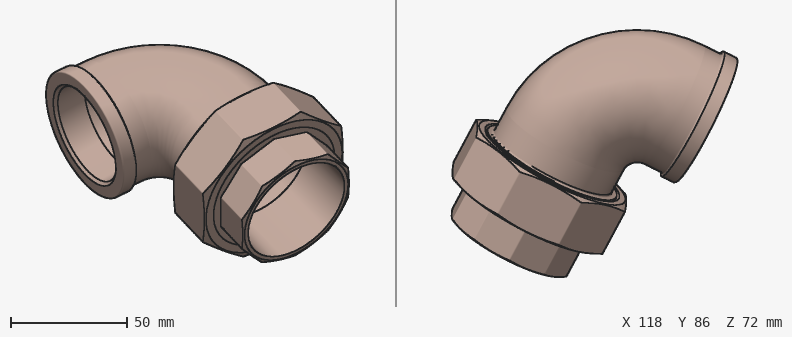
import cadquery as cq
import math


pipe_d = 57.0
inlet_bore_d = 44.8
bend_bore_d = 50.0
bend_radius = 34.8
inlet_end_y = -50.0
bead_d = 60.0
bead_length = 6.5
bead_root_fillet = 1.0
bead_rim_fillet = 0.7
mouth_chamfer = 1.4
collar_d = 62.5
collar_root_fillet = 1.0

nut_start_x = 47.0
nut_end_x = 71.0
nut_length = nut_end_x - nut_start_x
nut_sides = 8
nut_across_flats = 72.0
nut_bore_d = 62.9
nut_mouth_d = 65.0
nut_face_d = 70.8
nut_bevel_angle = 23.0

insert_end_x = 88.0
grip_length = insert_end_x - nut_end_x
grip_sides = 10
grip_across_flats = 55.2
grip_corner_angle = 90.0
grip_face_d = 53.8
grip_bevel_angle = 25.0

corner_radius = 1.0
joint_x = (nut_start_x + nut_end_x) / 2


def disc(diameter, start_x, length):
    """Solid cylinder on the outlet axis."""
    return cq.Workplane("YZ", origin=(start_x, 0, 0)).circle(diameter / 2).extrude(length)


def bent_rod(diameter):
    """Solid round bar along the bend and the straight outlet, up to the joint."""
    bend_middle = bend_radius * (1 - math.sqrt(0.5))
    path = (
        cq.Workplane("XY")
        .moveTo(0, -bend_radius)
        .threePointArc((bend_middle, -bend_middle), (bend_radius, 0))
        .lineTo(joint_x, 0)
    )
    return cq.Workplane("XZ", origin=(0, -bend_radius, 0)).circle(diameter / 2).sweep(path)


def inlet_rod(diameter):
    """Solid round bar along the straight inlet, from the bend to the inlet end."""
    return (
        cq.Workplane("XZ", origin=(0, -bend_radius, 0))
        .circle(diameter / 2)
        .extrude(-bend_radius - inlet_end_y)
    )


def polygon_bar(sides, across_flats, first_corner_angle, start_x, length):
    """Polygonal bar on the outlet axis with rounded long edges."""
    corner_r = across_flats / 2 / math.cos(math.pi / sides)
    angles = [math.radians(first_corner_angle + 360 * i / sides) for i in range(sides)]
    corners = [(corner_r * math.cos(a), corner_r * math.sin(a)) for a in angles]
    return (
        cq.Workplane("YZ", origin=(start_x, 0, 0))
        .polyline(corners)
        .close()
        .extrude(length)
        .edges("|X")
        .fillet(corner_radius)
    )


def bevel_cone(face_d, bevel_angle, face_x, direction, length):
    """Cone that starts at the end face and widens at the bevel angle into the bar."""
    face_r = face_d / 2
    wide_r = face_r + length / math.tan(math.radians(bevel_angle))
    return (
        cq.Workplane("XY")
        .moveTo(face_x, 0)
        .lineTo(face_x, face_r)
        .lineTo(face_x + direction * length, wide_r)
        .lineTo(face_x + direction * length, 0)
        .close()
        .revolve(360, (0, 0, 0), (1, 0, 0))
    )


def make_elbow():
    body = bent_rod(pipe_d).union(inlet_rod(pipe_d))

    bead_r = bead_d / 2
    pipe_r = pipe_d / 2
    bead_start_y = inlet_end_y + bead_length
    bead = (
        cq.Workplane("XY")
        .moveTo(0, inlet_end_y)
        .lineTo(bead_r - bead_rim_fillet, inlet_end_y)
        .radiusArc((bead_r, inlet_end_y + bead_rim_fillet), -bead_rim_fillet)
        .lineTo(bead_r, bead_start_y)
        .lineTo(pipe_r + bead_root_fillet, bead_start_y)
        .radiusArc((pipe_r, bead_start_y + bead_root_fillet), bead_root_fillet)
        .lineTo(0, bead_start_y + bead_root_fillet)
        .close()
        .revolve(360, (0, 0, 0), (0, 1, 0))
    )

    collar_r = collar_d / 2
    collar = (
        cq.Workplane("XY")
        .moveTo(nut_start_x - collar_root_fillet, 0)
        .lineTo(nut_start_x - collar_root_fillet, pipe_r)
        .radiusArc((nut_start_x, pipe_r + collar_root_fillet), -collar_root_fillet)
        .lineTo(nut_start_x, collar_r)
        .lineTo(joint_x, collar_r)
        .lineTo(joint_x, 0)
        .close()
        .revolve(360, (0, 0, 0), (1, 0, 0))
    )

    body = body.union(bead).union(collar)

    inlet_bore = inlet_rod(inlet_bore_d)
    bend_bore = bent_rod(bend_bore_d)
    mouth = cq.Solid.makeCone(
        inlet_bore_d / 2 + mouth_chamfer,
        inlet_bore_d / 2,
        mouth_chamfer,
        pnt=cq.Vector(0, inlet_end_y, 0),
        dir=cq.Vector(0, 1, 0),
    )
    return body.cut(inlet_bore).cut(cq.Workplane(obj=mouth)).cut(bend_bore)


def make_nut():
    half_side_angle = 180 / nut_sides
    nut = polygon_bar(nut_sides, nut_across_flats, half_side_angle, nut_start_x, nut_length)
    nut = nut.intersect(bevel_cone(nut_face_d, nut_bevel_angle, nut_start_x, 1, nut_length))
    nut = nut.intersect(bevel_cone(nut_face_d, nut_bevel_angle, nut_end_x, -1, nut_length))
    nut = nut.cut(disc(nut_bore_d, nut_start_x, nut_length))
    mouth_depth = (nut_mouth_d - nut_bore_d) / 2
    mouth = cq.Solid.makeCone(
        nut_mouth_d / 2,
        nut_bore_d / 2,
        mouth_depth,
        pnt=cq.Vector(nut_start_x, 0, 0),
        dir=cq.Vector(1, 0, 0),
    )
    return nut.cut(cq.Workplane(obj=mouth))


def make_insert():
    grip = polygon_bar(grip_sides, grip_across_flats, grip_corner_angle, nut_end_x, grip_length)
    grip = grip.intersect(bevel_cone(grip_face_d, grip_bevel_angle, insert_end_x, -1, grip_length))
    plug = disc(nut_bore_d, joint_x, nut_end_x - joint_x)
    return grip.union(plug).cut(disc(bend_bore_d, joint_x, insert_end_x - joint_x))


elbow = make_elbow()
nut = make_nut()
insert = make_insert()

result = cq.Compound.makeCompound([body.solids().val() for body in (elbow, nut, insert)])